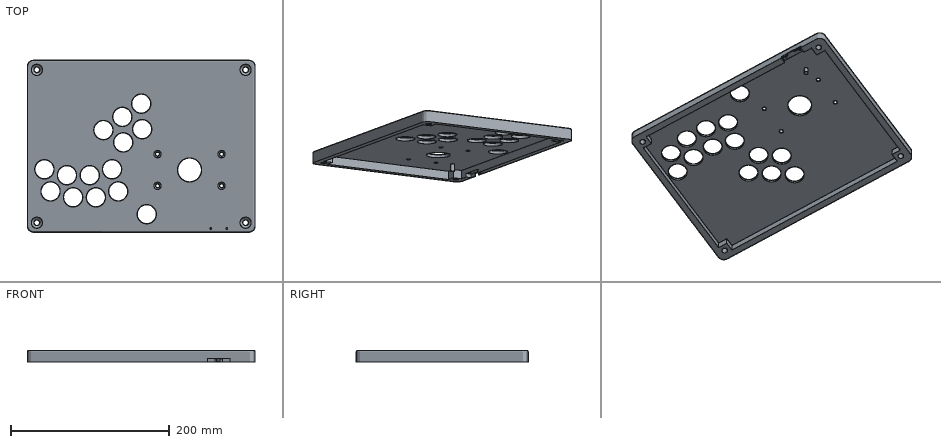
import cadquery as cq

length = 288.4
width = 217.7
height = 14.7
corner_radius = 8.0
edge_radius = 2.0

wall = 8.0
plate = 4.0
corner_block = 20.2

corner_screw_inset = 12.0
corner_screw_diameter = 7.0
corner_head_diameter = 14.0

joystick_x = 61.0
joystick_y = -30.0
joystick_diameter = 30.0
joystick_screw_pitch_x = 81.0
joystick_screw_pitch_y = 40.0
joystick_screw_diameter = 5.0
joystick_head_diameter = 9.2
countersink_angle = 90

button_diameter = 24.0
move_columns = [(-122.5, -29.0), (-94.0, -36.5), (-65.2, -36.5), (-37.0, -29.0)]
move_row_shift = (7.8, -28.0)
action_start = (-48.0, 20.5)
action_step = (24.0, 16.7)
action_row_shift = (1.2, -32.3)
thumb_button = (7.0, -86.0)

pocket_x = 98.0
pocket_width = 28.8
pocket_height = 4.5
pocket_skin = 1.0
notch_width = 9.2
notch_height = 3.7
board_screw_diameter = 2.1
board_screw_pitch = 20.2
board_screw_inset = 5.0
board_screw_roof = 0.8

post_x = 97.5
post_y = -72.0
post_diameter = 5.0
post_bottom = 1.5


def shifted(point, shift, times=1):
    return (point[0] + times * shift[0], point[1] + times * shift[1])


def button_centres():
    move_lower = [shifted(point, move_row_shift) for point in move_columns]
    action_upper = [shifted(action_start, action_step, i) for i in range(3)]
    action_lower = [shifted(point, action_row_shift) for point in action_upper[1:]]
    return move_columns + move_lower + action_upper + action_lower + [thumb_button]


def make_shell():
    body = (
        cq.Workplane("XY")
        .box(length, width, height, centered=(True, True, False))
        .edges("|Z").fillet(corner_radius)
        .faces(">Z").edges().fillet(edge_radius)
    )
    inner_length = length - 2 * wall
    inner_width = width - 2 * wall
    cavity = cq.Workplane("XY").box(
        inner_length, inner_width, height - plate, centered=(True, True, False)
    )
    blocks = (
        cq.Workplane("XY")
        .rect(length - corner_block, width - corner_block, forConstruction=True)
        .vertices()
        .rect(corner_block, corner_block)
        .extrude(height)
    )
    return body.cut(cavity.cut(blocks))


def cut_countersunk_holes(body, pitch_x, pitch_y, centre, hole_diameter, head_diameter):
    return (
        body.faces(">Z").workplane(origin=(*centre, height))
        .rect(pitch_x, pitch_y, forConstruction=True)
        .vertices()
        .cskHole(hole_diameter, head_diameter, countersink_angle)
    )


def cut_plate_openings(body):
    top = cq.Workplane("XY").workplane(offset=height)
    buttons = top.pushPoints(button_centres()).circle(button_diameter / 2).extrude(-height)
    joystick = top.center(joystick_x, joystick_y).circle(joystick_diameter / 2).extrude(-height)
    return body.cut(buttons).cut(joystick)


def cut_connector(body):
    front = -width / 2
    pocket = cq.Workplane("XY").box(
        pocket_width, wall - pocket_skin, pocket_height, centered=(True, False, False)
    ).translate((pocket_x, front + pocket_skin, 0))
    notch = cq.Workplane("XY").box(
        notch_width, wall, notch_height, centered=(True, False, False)
    ).translate((pocket_x, front, 0))
    half_pitch = board_screw_pitch / 2
    screws = (
        cq.Workplane("XY")
        .pushPoints([(pocket_x + side * half_pitch, front + board_screw_inset) for side in (-1, 1)])
        .circle(board_screw_diameter / 2)
        .extrude(height - board_screw_roof)
    )
    return body.cut(pocket).cut(notch).cut(screws)


def make_post():
    return (
        cq.Workplane("XY").workplane(offset=post_bottom)
        .center(post_x, post_y)
        .circle(post_diameter / 2)
        .extrude(height - plate - post_bottom)
    )


case = make_shell().union(make_post())
case = cut_plate_openings(case)
case = cut_countersunk_holes(
    case,
    length - 2 * corner_screw_inset,
    width - 2 * corner_screw_inset,
    (0, 0),
    corner_screw_diameter,
    corner_head_diameter,
)
case = cut_countersunk_holes(
    case,
    joystick_screw_pitch_x,
    joystick_screw_pitch_y,
    (joystick_x, joystick_y),
    joystick_screw_diameter,
    joystick_head_diameter,
)
result = cut_connector(case)